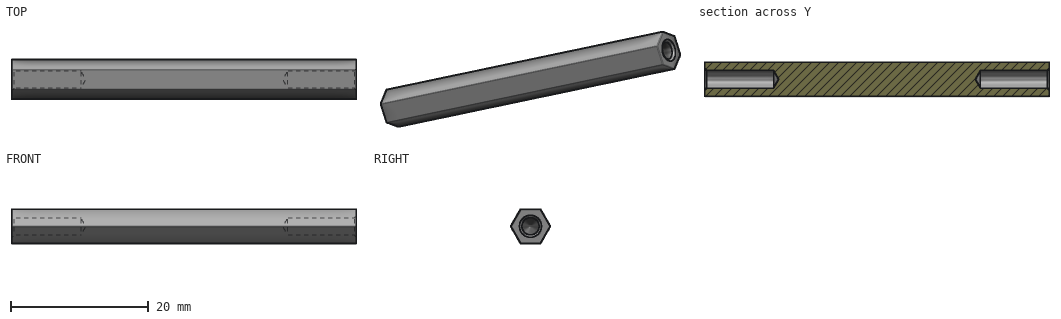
import cadquery as cq
import math

length = 50.0
across_flats = 5.0
across_corners = across_flats / math.cos(math.radians(30))
edge_radius = 0.1

hole_diameter = 2.5
hole_depth = 10.0
drill_tip_angle = 120.0
mouth_diameter = 3.2
mouth_angle = 90.0


def cone_height(large_diameter, small_diameter, included_angle):
    """Axial length of a cone or cone frustum with the given included angle."""
    radius_change = (large_diameter - small_diameter) / 2
    return radius_change / math.tan(math.radians(included_angle / 2))


def hex_bar():
    """Hexagonal bar with flats facing +Z and -Z, and all edges rounded."""
    bar = cq.Workplane("YZ").polygon(6, across_corners).extrude(length / 2, both=True)
    return bar.edges().fillet(edge_radius)


def drilled_hole():
    """Cutter for the -X end: countersunk mouth, straight bore and conical drill tip."""
    entry = -length / 2
    mouth_end = entry + cone_height(mouth_diameter, hole_diameter, mouth_angle)
    bore_end = entry + hole_depth
    tip_end = bore_end + cone_height(hole_diameter, 0, drill_tip_angle)
    half_profile = (
        cq.Workplane("XY")
        .moveTo(entry, 0)
        .lineTo(entry, mouth_diameter / 2)
        .lineTo(mouth_end, hole_diameter / 2)
        .lineTo(bore_end, hole_diameter / 2)
        .lineTo(tip_end, 0)
        .close()
    )
    return half_profile.revolve(360, (0, 0, 0), (1, 0, 0))


near_hole = drilled_hole()
far_hole = near_hole.mirror("YZ")
result = hex_bar().cut(near_hole).cut(far_hole)